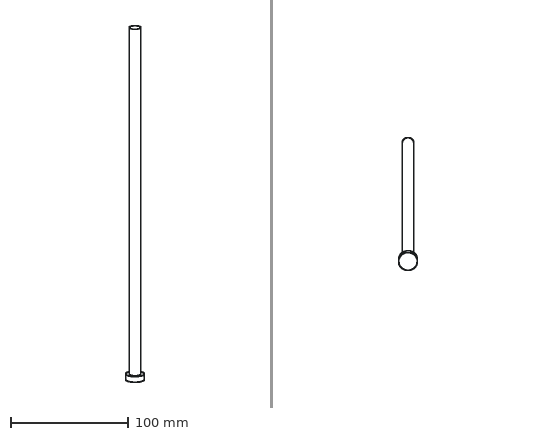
import cadquery as cq

total_length = 315.0
head_diameter = 16.0
head_thickness = 5.0
shaft_diameter = 10.0

head = cq.Workplane("XY").circle(head_diameter / 2).extrude(head_thickness)
shaft = cq.Workplane("XY").circle(shaft_diameter / 2).extrude(total_length)

result = head.union(shaft)